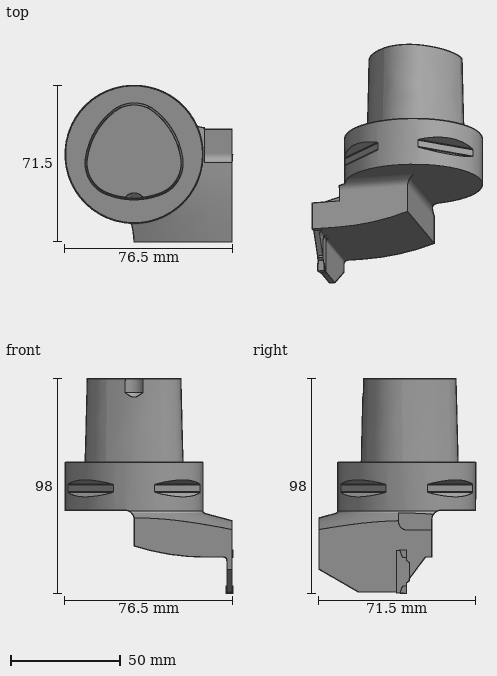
import cadquery as cq
import math

shank_length = 38.0
shank_taper = 1 / 40
lobe_reach = 23.45
flat_reach = 20.8
lobe_radius = 15.45
lobe_offset = lobe_reach - lobe_radius
radius_gap = flat_reach - lobe_radius
flat_offset = (lobe_offset**2 - radius_gap**2) / (2 * radius_gap - lobe_offset)
flat_radius = flat_reach + flat_offset

notch_radius = 5.0
notch_center_y = -22.6
notch_depth = 6.3
notch_cone_angle = 41.0
notch_tip_depth = notch_radius * math.tan(math.radians(notch_cone_angle))

flange_radius = 63.0 / 2
flange_height = 22.0
flange_chamfer = 0.3

groove_z = -12.0
groove_floor_distance = 27.9
groove_floor_half = 1.5
groove_step_half = 1.9
groove_step = 0.2
groove_flank_angle = 30.0
groove_overrun = 1.0
groove_count = 4
groove_first_angle = 45.0

arm_x_min = 0.0
arm_x_max = 44.75
arm_y_min = -40.0
arm_y_max = 11.5
arm_left_z = -38.3
arm_bottom_z = -43.4
arm_ramp_x = 33.0
arm_flare_radius = 4.1

roof_angle = 15.0
roof_start_z = -23.15
roof_fillet = 1.0

step_x = 32.0
step_y = 0.2
step_z = -31.0
step_fillet = 4.0

blade_thickness = 2.5
blade_x = arm_x_max - blade_thickness
blade_bottom_z = -59.3
blade_fillet = 1.5
blade_jaw_top_y = 8.5
blade_jaw_tip_z = -53.2
blade_heel_y = -22.0
blade_heel_angle = 30.0
blade_back_z = blade_bottom_z + (blade_heel_y - arm_y_min) * math.tan(math.radians(blade_heel_angle))

insert_tip_z = -60.0
insert_length = 20.0
insert_mid_z = insert_tip_z + insert_length / 2
insert_back_y = -4.75
insert_ridge_y = 1.2
ridge_half_length = 4.15
ridge_foot_half_length = 5.1
end_relief = 0.3
edge_width = 3.0
edge_x_max = 45.0
edge_x_min = edge_x_max - edge_width
edge_length = 3.6
edge_relief_y = -3.1
edge_neck_y = -1.6
edge_knee_y = -2.3
edge_knee_length = 2.7
edge_corner_radius = 0.2


def polar(distance, degrees, center=(0, 0)):
    angle = math.radians(degrees)
    return (center[0] + distance * math.cos(angle), center[1] + distance * math.sin(angle))


def shank_outline(workplane, inset):
    """Three lobes and three shallow sides, all tangent arcs, moved inward by inset."""
    def joint(lobe_angle, side):
        lobe_center = polar(lobe_offset, lobe_angle)
        flat_center = polar(flat_offset, lobe_angle + side * 60 + 180)
        dx = lobe_center[0] - flat_center[0]
        dy = lobe_center[1] - flat_center[1]
        reach = (flat_radius - inset) / math.hypot(dx, dy)
        return (flat_center[0] + dx * reach, flat_center[1] + dy * reach)

    outline = workplane.moveTo(*joint(90, -1))
    for lobe_angle in (90, 210, 330):
        outline = outline.threePointArc(polar(lobe_reach - inset, lobe_angle), joint(lobe_angle, 1))
        outline = outline.threePointArc(
            polar(flat_reach - inset, lobe_angle + 60), joint(lobe_angle + 120, -1))
    return outline.close()


def make_shank():
    base = shank_outline(cq.Workplane("XY"), 0)
    shank = shank_outline(base.workplane(offset=shank_length), shank_length * shank_taper).loft(ruled=True)
    notch = (
        cq.Workplane("XZ")
        .moveTo(0, shank_length)
        .lineTo(notch_radius, shank_length)
        .lineTo(notch_radius, shank_length - notch_depth)
        .lineTo(0, shank_length - notch_depth - notch_tip_depth)
        .close()
        .revolve(360, (0, 0), (0, 1))
        .translate((0, notch_center_y, 0))
    )
    return shank.cut(notch)


def make_groove():
    """Gripper groove facing +X: flat floor with a small step and sloping flanks."""
    outer = flange_radius + groove_overrun
    flank_start = groove_floor_distance + groove_step
    mouth_half = groove_step_half + (outer - flank_start) * math.tan(math.radians(groove_flank_angle))
    return (
        cq.Workplane("XZ")
        .polyline([
            (groove_floor_distance, groove_z - groove_floor_half),
            (flank_start, groove_z - groove_step_half),
            (outer, groove_z - mouth_half),
            (outer, groove_z + mouth_half),
            (flank_start, groove_z + groove_step_half),
            (groove_floor_distance, groove_z + groove_floor_half),
        ])
        .close()
        .extrude(flange_radius, both=True)
    )


def make_flange():
    flange = cq.Workplane("XY").circle(flange_radius).extrude(-flange_height)
    flange = flange.faces(">Z").edges().chamfer(flange_chamfer)
    for index in range(groove_count):
        angle = groove_first_angle + index * 360 / groove_count
        flange = flange.cut(make_groove().rotate((0, 0, 0), (0, 0, 1), angle))
    return flange


def make_roof():
    """Space under the flange that the arm may fill: a cone with a fillet at the flange radius."""
    slope = math.radians(roof_angle)
    tangent = roof_fillet * math.tan((math.pi / 2 - slope) / 2)
    fillet_center = (flange_radius + roof_fillet, roof_start_z + tangent)
    middle_angle = 180 + (90 - roof_angle) / 2
    outer = flange_radius + arm_x_max
    return (
        cq.Workplane("XZ")
        .moveTo(0, insert_tip_z)
        .lineTo(0, -flange_height)
        .lineTo(flange_radius, -flange_height)
        .lineTo(flange_radius, fillet_center[1])
        .threePointArc(
            polar(roof_fillet, middle_angle, fillet_center),
            (flange_radius + tangent * math.cos(slope), roof_start_z - tangent * math.sin(slope)))
        .lineTo(outer, roof_start_z - (outer - flange_radius) * math.tan(slope))
        .lineTo(outer, insert_tip_z)
        .close()
        .revolve(360, (0, 0), (0, 1))
    )


def make_arm_block():
    """Arm and blade in one side profile, flared at the top of the -X and +Y faces."""
    ramp_rise = arm_left_z - arm_bottom_z
    ramp_run = arm_ramp_x - arm_x_min
    ramp_radius = (ramp_run**2 + ramp_rise**2) / (2 * ramp_rise)
    ramp_center = (arm_ramp_x, arm_bottom_z + ramp_radius)
    ramp_sweep = math.degrees(math.asin(ramp_run / ramp_radius))
    fillet_center = (blade_x - blade_fillet, arm_bottom_z - blade_fillet)
    flare_z = -flange_height - arm_flare_radius
    block = (
        cq.Workplane("XZ", origin=(0, arm_y_max + arm_flare_radius, 0))
        .moveTo(arm_x_min - arm_flare_radius, -flange_height)
        .threePointArc(
            polar(arm_flare_radius, 45, (arm_x_min - arm_flare_radius, flare_z)), (arm_x_min, flare_z))
        .lineTo(arm_x_min, arm_left_z)
        .threePointArc(
            polar(ramp_radius, 270 - ramp_sweep / 2, ramp_center), (arm_ramp_x, arm_bottom_z))
        .lineTo(fillet_center[0], arm_bottom_z)
        .threePointArc(polar(blade_fillet, 45, fillet_center), (blade_x, fillet_center[1]))
        .lineTo(blade_x, blade_bottom_z)
        .lineTo(arm_x_max, blade_bottom_z)
        .lineTo(arm_x_max, -flange_height)
        .close()
        .extrude(arm_y_max + arm_flare_radius - arm_y_min)
    )
    return block.intersect(make_end_profile())


def make_end_profile():
    """Outline of the arm and blade along X, used to trim the side profile."""
    flare_center = (arm_y_max + arm_flare_radius, -flange_height - arm_flare_radius)
    return (
        cq.Workplane("YZ", origin=(arm_x_min - arm_flare_radius, 0, 0))
        .moveTo(arm_y_min, -flange_height)
        .lineTo(arm_y_min, blade_back_z)
        .lineTo(blade_heel_y, blade_bottom_z)
        .lineTo(insert_back_y, blade_bottom_z)
        .lineTo(insert_back_y, blade_jaw_tip_z)
        .lineTo(insert_ridge_y, blade_jaw_tip_z)
        .lineTo(blade_jaw_top_y, arm_bottom_z)
        .lineTo(arm_y_max, arm_bottom_z)
        .lineTo(arm_y_max, flare_center[1])
        .threePointArc(
            polar(arm_flare_radius, 135, flare_center), (flare_center[0], -flange_height))
        .close()
        .extrude(arm_x_max - arm_x_min + arm_flare_radius)
    )


def make_corner_step():
    """Stepped relief with a fillet along the wall on its -Y side."""
    wall_y = step_y - step_fillet
    far_y = arm_y_max + arm_flare_radius
    fillet_center = (step_y, step_z + step_fillet)
    return (
        cq.Workplane("YZ", origin=(step_x, 0, 0))
        .moveTo(wall_y, -flange_height)
        .lineTo(wall_y, fillet_center[1])
        .threePointArc(polar(step_fillet, 225, fillet_center), (step_y, step_z))
        .lineTo(far_y, step_z)
        .lineTo(far_y, -flange_height)
        .close()
        .extrude(arm_x_max - step_x)
    )


def make_insert_edge():
    """Widened cutting edge at the lower end, tapering to the body width away from the rake face."""
    profile = (
        cq.Workplane("YZ", origin=(edge_x_min, 0, 0))
        .moveTo(0, insert_tip_z)
        .lineTo(edge_relief_y, insert_tip_z + end_relief * edge_relief_y / insert_back_y)
        .lineTo(edge_knee_y, insert_tip_z + edge_knee_length)
        .lineTo(edge_neck_y, insert_tip_z + edge_length)
        .lineTo(0, insert_tip_z + edge_length)
        .close()
        .extrude(edge_width)
    )
    taper = (
        cq.Workplane("XY", origin=(0, 0, insert_tip_z))
        .polyline([(edge_x_min, 0), (edge_x_max, 0), (arm_x_max, edge_relief_y), (blade_x, edge_relief_y)])
        .close()
        .extrude(edge_length)
    )
    corner_edges = taper.faces("<Z").edges("not |X")
    return profile.intersect(corner_edges.fillet(edge_corner_radius))


def make_insert():
    half = insert_length / 2
    right_half = [
        (insert_ridge_y, ridge_half_length),
        (0, ridge_foot_half_length),
        (0, half),
        (insert_back_y, half - end_relief),
    ]
    mirrored_half = [(y, -z) for y, z in reversed(right_half)]
    body = (
        cq.Workplane("YZ", origin=(blade_x, 0, insert_mid_z))
        .polyline(right_half + mirrored_half)
        .close()
        .extrude(blade_thickness)
    )
    lower_edge = make_insert_edge()
    upper_edge = lower_edge.mirror("XY", (0, 0, insert_mid_z))
    return body.union(lower_edge).union(upper_edge)


def make_fillet_gap():
    """Gap through the blade fillet that leaves the -X side of the insert clear."""
    fillet_foot_z = arm_bottom_z - blade_fillet
    return cq.Workplane("XY").box(
        blade_fillet, -insert_back_y, blade_fillet, centered=False
    ).translate((blade_x - blade_fillet, insert_back_y, fillet_foot_z))


def make_holder(insert):
    arm = make_arm_block().intersect(make_roof()).cut(make_corner_step())
    holder = make_flange().union(make_shank()).union(arm)
    return holder.cut(make_fillet_gap()).cut(insert)


insert = make_insert()
holder = make_holder(insert)

result = cq.Compound.makeCompound([*holder.solids().vals(), *insert.solids().vals()])